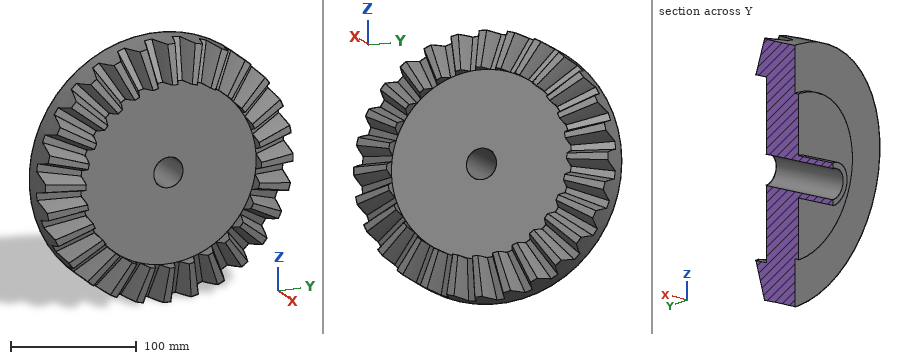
import cadquery as cq

rim_radius = 108.0
plate_radius = 68.5
hub_radius = 17.7
bore_radius = 12.7
tooth_inner_radius = 76.5

plate_x = 35.0
disc_x = 38.5
core_x = 68.0
rim_tip_x = 69.7
overall_length = 78.5

tooth_count = 28
gap_floor_rim_x = 51.8
gap_floor_half_width = 3.2
flank_lean = 4.7
flank_curve = 0.97
flank_facets = 5
first_gap_angle = 7.4
cutter_overrun = 2.2

pitch_angle = 360 / tooth_count


def make_blank():
    """Revolve the half outline (X along the axis, Y as radius) into a bored blank."""
    outline = [
        (0, bore_radius),
        (0, hub_radius),
        (plate_x, hub_radius),
        (plate_x, plate_radius),
        (disc_x, plate_radius),
        (disc_x, rim_radius),
        (rim_tip_x, rim_radius),
        (overall_length, tooth_inner_radius),
        (core_x, tooth_inner_radius),
        (core_x, bore_radius),
    ]
    return cq.Workplane("XY").polyline(outline).close().revolve(360, (0, 0, 0), (1, 0, 0))


def along_tooth(radius, rim_value, inner_value):
    """Straight-line value at a radius, from its values at the rim and the inner end."""
    inward = (rim_radius - radius) / (rim_radius - tooth_inner_radius)
    return rim_value + (inner_value - rim_value) * inward


def gap_section(radius):
    """Cross-section of a tooth gap on the plane Y = -radius; widths shrink towards the axis."""
    floor_x = along_tooth(radius, gap_floor_rim_x, core_x)
    tip_x = along_tooth(radius, rim_tip_x, overall_length)
    width_scale = radius / rim_radius
    flank = []
    for step in range(flank_facets + 1):
        rise = step / flank_facets
        half_width = gap_floor_half_width + flank_lean * rise + flank_curve * rise**2
        flank.append((floor_x + (tip_x - floor_x) * rise, half_width * width_scale))
    tip_half_width = flank[-1][1]
    flank.append((tip_x + cutter_overrun, tip_half_width))
    opposite_flank = [(x, -half_width) for x, half_width in reversed(flank)]
    points = [cq.Vector(x, -radius, z) for x, z in flank + opposite_flank]
    return cq.Wire.makePolygon(points, close=True)


def make_gap_cutter():
    """Ruled solid that cuts one tapered gap, centred on -Y."""
    outer_section = gap_section(rim_radius + cutter_overrun)
    inner_section = gap_section(tooth_inner_radius - cutter_overrun)
    return cq.Solid.makeLoft([outer_section, inner_section], True)


gap_cutter = make_gap_cutter()
axis_start = cq.Vector(0, 0, 0)
axis_end = cq.Vector(1, 0, 0)
gap_cutters = []
for index in range(tooth_count):
    turn = -(first_gap_angle + index * pitch_angle)
    gap_cutters.append(gap_cutter.rotate(axis_start, axis_end, turn))

result = make_blank().cut(cq.Compound.makeCompound(gap_cutters))